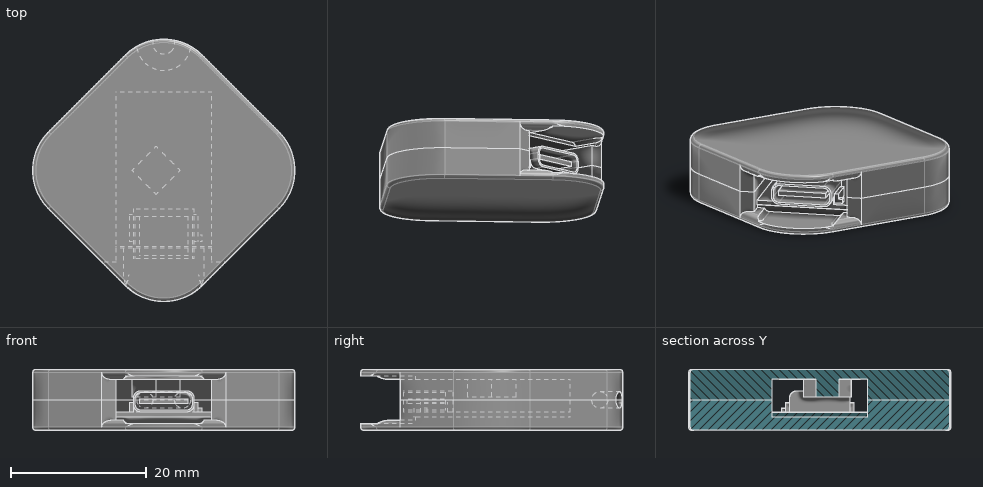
import cadquery as cq
import math

case_side = 32.0
case_corner_radius = 8.0
case_height = 9.0
rim_radius = 0.5
half_height = case_height / 2
face_distance = case_side / 2
diagonal_reach = face_distance * math.sqrt(2)
margin = 1.0

opening_y = -13.5
opening_half_height = 3.0
opening_edge_radius = 1.0
plug_width = 12.0
plug_height = 7.0
plug_corner_radius = 0.85
plug_stop_y = -11.2
flare_radius = 2.25
flare_start_y = -15.4

cavity_width = 14.0
cavity_back_y = 11.5
cavity_floor_z = -2.5
cavity_roof_z = opening_half_height

post_side = 5.0
post_x = -1.13
post_y = 0.0
post_bottom_z = 0.4

tunnel_diameter = 2.4
tunnel_ring_radius = 2.8
tunnel_center_y = 18.7

board_thickness = 0.7
board_front_y = -11.45
board_top_z = cavity_floor_z + board_thickness

socket_width = 8.95
socket_height = 3.1
socket_corner_radius = 1.1
socket_wall = 0.27
socket_front_y = -13.0
socket_length = 7.3
socket_depth = 6.2
socket_lift = 0.035
socket_z = board_top_z + socket_lift + socket_height / 2
tongue_width = 7.1
tongue_thickness = 0.7
tongue_inset = 0.5

carrier_width = 10.1
carrier_height = 1.4
carrier_front_y = -10.5
carrier_length = 4.0
chip_left_x = carrier_width / 2
chip_right_x = 5.65
chip_height = 0.6
chip_length = 1.0


def span_box(x0, x1, y0, y1, z0, z1):
    """Box between two opposite corners."""
    return cq.Workplane("XY").box(x1 - x0, y1 - y0, z1 - z0, centered=False).translate((x0, y0, z0))


def rounded_bar(width, height, radius, front_y, back_y, center_z):
    """Bar along Y with a rounded rectangular section."""
    return (
        cq.Workplane("XZ", origin=(0, front_y, center_z))
        .rect(width, height)
        .extrude(front_y - back_y)
        .edges("|Y")
        .fillet(radius)
    )


def case_blank():
    """Closed case with rounded corners and rims."""
    return (
        cq.Workplane("XY")
        .box(case_side, case_side, case_height)
        .edges("|Z")
        .fillet(case_corner_radius)
        .faces("<Z or >Z")
        .edges()
        .fillet(rim_radius)
        .rotate((0, 0, 0), (0, 0, 1), 45)
    )


def opening_edge_rounding():
    """Cutter that rounds the opening's lower lip along a -X face."""
    r = opening_edge_radius
    arc_middle = r * math.sqrt(0.5)
    corner = (
        cq.Workplane("XZ")
        .moveTo(-r, 0)
        .threePointArc((-arc_middle, arc_middle), (0, r))
        .lineTo(0, r + margin)
        .lineTo(-r - margin, r + margin)
        .lineTo(-r - margin, 0)
        .close()
        .extrude(face_distance)
    )
    return corner.translate((-face_distance + r, 0, -opening_half_height - r))


def plug_flare():
    """Cutter that curves the plug channel's -X floor edge outwards towards the tip."""
    r = flare_radius
    edge_x = -plug_width / 2 + plug_corner_radius
    half = plug_height / 2
    block = span_box(edge_x - r, edge_x, flare_start_y - r, flare_start_y, -half, half)
    round_wall = (
        cq.Workplane("XY", origin=(edge_x - r, flare_start_y, -half)).circle(r).extrude(plug_height)
    )
    return block.cut(round_wall)


def opening_cutter():
    """Mouth across the -Y corner, the plug channel and the rounding of both lips."""
    reach = diagonal_reach
    mouth = span_box(-reach, reach, -reach, opening_y, -opening_half_height, opening_half_height)
    plug = rounded_bar(plug_width, plug_height, plug_corner_radius, -reach, plug_stop_y, 0)
    cutter = mouth.union(plug)
    keep = span_box(-reach, reach, -reach, opening_y, -half_height, half_height)
    lip = opening_edge_rounding().rotate((0, 0, 0), (0, 0, 1), 45).intersect(keep)
    lips = lip.union(lip.mirror("XY"))
    side_cuts = lips.union(plug_flare())
    return cutter.union(side_cuts).union(side_cuts.mirror("YZ"))


def cavity():
    """Board chamber and the doorway that joins it to the plug opening."""
    half = cavity_width / 2
    doorway = span_box(
        -half, half, opening_y - margin, plug_stop_y, -opening_half_height, opening_half_height
    )
    chamber = span_box(-half, half, plug_stop_y - margin, cavity_back_y, cavity_floor_z, cavity_roof_z)
    return chamber.union(doorway)


def post():
    """Square post standing on one corner in plan."""
    return (
        cq.Workplane("XY", origin=(post_x, post_y, post_bottom_z))
        .transformed(rotate=(0, 0, 45))
        .rect(post_side, post_side)
        .extrude(cavity_roof_z - post_bottom_z)
    )


def lanyard_tunnel():
    """Ring whose inner half is the passage for a cord."""
    ring = cq.Solid.makeTorus(tunnel_ring_radius, tunnel_diameter / 2)
    return cq.Workplane(ring.translate(cq.Vector(0, tunnel_center_y, 0)))


def circuit_board():
    """Board with the socket, its saddle, the carrier and the chip soldered to it."""
    half = cavity_width / 2
    board = span_box(-half, half, board_front_y, cavity_back_y, cavity_floor_z, board_top_z)
    back_y = socket_front_y + socket_length
    shell = rounded_bar(
        socket_width, socket_height, socket_corner_radius, socket_front_y, back_y, socket_z
    )
    saddle = span_box(
        -socket_width / 2, socket_width / 2, board_front_y, back_y, cavity_floor_z, socket_z
    )
    hollow = rounded_bar(
        socket_width - 2 * socket_wall,
        socket_height - 2 * socket_wall,
        socket_corner_radius - socket_wall,
        socket_front_y,
        socket_front_y + socket_depth,
        socket_z,
    )
    tongue = span_box(
        -tongue_width / 2,
        tongue_width / 2,
        socket_front_y + tongue_inset,
        back_y,
        socket_z - tongue_thickness / 2,
        socket_z + tongue_thickness / 2,
    )
    carrier = span_box(
        -carrier_width / 2,
        carrier_width / 2,
        carrier_front_y,
        carrier_front_y + carrier_length,
        board_top_z,
        board_top_z + carrier_height,
    )
    chip = span_box(
        chip_left_x,
        chip_right_x,
        carrier_front_y,
        carrier_front_y + chip_length,
        board_top_z,
        board_top_z + chip_height,
    )
    solid_parts = board.union(saddle).union(shell).union(carrier).union(chip)
    return solid_parts.clean().cut(hollow).union(tongue)


case = case_blank().cut(opening_cutter()).cut(cavity()).cut(lanyard_tunnel())
reach = diagonal_reach
lower_case = case.intersect(span_box(-reach, reach, -reach, reach, -half_height, 0))
upper_case = case.intersect(span_box(-reach, reach, -reach, reach, 0, half_height)).union(post())
board = circuit_board()

result = cq.Compound.makeCompound([lower_case.val(), upper_case.val(), board.val()])